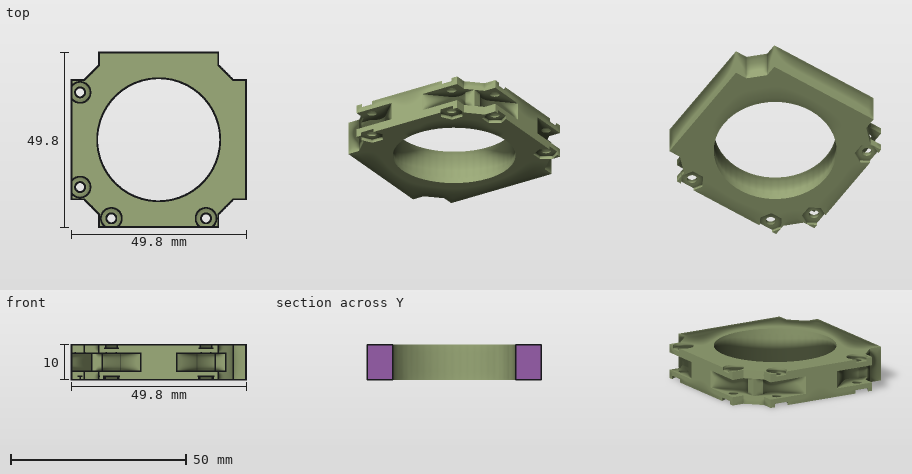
import cadquery as cq
import math

SIDE = 49.8
THICKNESS = 10.0
BORE_DIAMETER = 35.0
TAB_WIDTH = 34.05
NOTCH_RUN = 4.25

SCREW_OFFSET = 13.5
SCREW_INSET = 2.5
SCREW_DIAMETER = 2.8
HEAD_DIAMETER = 6.0
HEAD_DEPTH = 1.0
NUT_ACROSS_FLATS = 6.15
NUT_DEPTH = 1.0

POCKET_HEIGHT = 5.15
POCKET_ARC_HALF_WIDTH = 2.6

HALF_SIDE = SIDE / 2
HALF_TAB = TAB_WIDTH / 2
POCKET_WALL = HALF_TAB + NOTCH_RUN / 2
POCKET_DEPTH = HALF_SIDE - POCKET_WALL
POCKET_FLOOR = (THICKNESS - POCKET_HEIGHT) / 2


def make_plate():
    """Square plate with notched, sloping corners and a large bore."""
    notch_end = HALF_TAB + NOTCH_RUN
    corner = [
        (HALF_SIDE, HALF_TAB),
        (notch_end, HALF_TAB),
        (HALF_TAB, notch_end),
        (HALF_TAB, HALF_SIDE),
    ]
    outline = []
    for x_sign, y_sign in [(1, 1), (-1, 1), (-1, -1), (1, -1)]:
        points = [(x_sign * x, y_sign * y) for x, y in corner]
        if x_sign * y_sign < 0:
            points.reverse()
        outline += points
    plate = cq.Workplane("XY").polyline(outline).close().extrude(THICKNESS)
    bore = cq.Workplane("XY").circle(BORE_DIAMETER / 2).extrude(THICKNESS)
    return plate.cut(bore)


def make_screw_cutter():
    """Screw hole with a round head recess on top and a hexagonal nut recess below."""
    place = (SCREW_OFFSET, -HALF_SIDE + SCREW_INSET)
    hole = cq.Workplane("XY").center(*place).circle(SCREW_DIAMETER / 2).extrude(THICKNESS)
    head = (
        cq.Workplane("XY", origin=(0, 0, THICKNESS - HEAD_DEPTH))
        .center(*place)
        .circle(HEAD_DIAMETER / 2)
        .extrude(HEAD_DEPTH)
    )
    across_corners = NUT_ACROSS_FLATS / math.cos(math.radians(30))
    nut = cq.Workplane("XY").center(*place).polygon(6, across_corners).extrude(NUT_DEPTH)
    return hole.union(head).union(nut)


def make_pocket_cutter():
    """Side pocket with a 45 degree wall, a rounded back and an end open to the corner."""
    arc_near = SCREW_OFFSET - POCKET_ARC_HALF_WIDTH
    arc_far = SCREW_OFFSET + POCKET_ARC_HALF_WIDTH
    arc_height = POCKET_ARC_HALF_WIDTH * math.tan(math.radians(22.5))
    return (
        cq.Workplane("XY", origin=(0, 0, POCKET_FLOOR))
        .moveTo(arc_near - POCKET_DEPTH, -HALF_SIDE)
        .lineTo(arc_near, -POCKET_WALL)
        .threePointArc((SCREW_OFFSET, -POCKET_WALL + arc_height), (arc_far, -POCKET_WALL))
        .lineTo(POCKET_WALL, -POCKET_WALL)
        .lineTo(POCKET_WALL, -HALF_SIDE)
        .close()
        .extrude(POCKET_HEIGHT)
    )


fastening = make_screw_cutter().union(make_pocket_cutter())
fastening_pair = fastening.union(fastening.mirror("YZ"))

result = make_plate()
for turn in (0, -90):
    result = result.cut(fastening_pair.rotate((0, 0, 0), (0, 0, 1), turn))